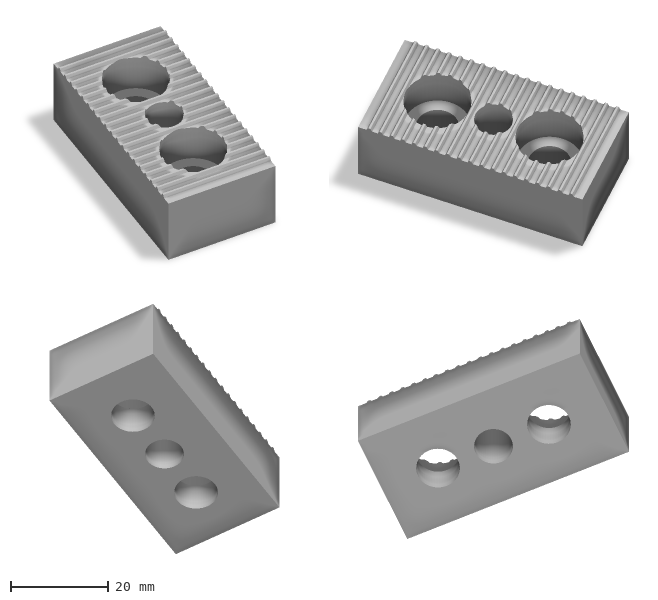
import cadquery as cq
import math

length = 50.0
width = 25.0
total_height = 16.0

tooth_count = 19
tooth_pitch = 2.5
tooth_height = 0.68
tooth_base = tooth_pitch / 2
flank_angle = 60.0

screw_spacing = length / 2
screw_diameter = 9.0
counterbore_diameter = 14.0
counterbore_depth = 9.0
centre_diameter = 8.0

body_height = total_height - tooth_height
tooth_crest = tooth_base - 2 * tooth_height / math.tan(math.radians(flank_angle))


def make_toothed_block():
    """Extrude the side profile: a rectangle with trapezoidal teeth on top."""
    profile = cq.Workplane("XZ").moveTo(-length / 2, 0).lineTo(-length / 2, body_height)
    for index in range(tooth_count):
        middle = (index - (tooth_count - 1) / 2) * tooth_pitch
        profile = (
            profile.lineTo(middle - tooth_base / 2, body_height)
            .lineTo(middle - tooth_crest / 2, total_height)
            .lineTo(middle + tooth_crest / 2, total_height)
            .lineTo(middle + tooth_base / 2, body_height)
        )
    profile = profile.lineTo(length / 2, body_height).lineTo(length / 2, 0).close()
    return profile.extrude(width / 2, both=True)


def make_bore(x, diameter, depth):
    """Vertical cylinder reaching down from the tooth crests by the given depth."""
    floor = total_height - depth
    return cq.Workplane("XY", origin=(x, 0, floor)).circle(diameter / 2).extrude(depth)


result = make_toothed_block().cut(make_bore(0, centre_diameter, total_height))
for screw_x in (-screw_spacing / 2, screw_spacing / 2):
    result = result.cut(make_bore(screw_x, screw_diameter, total_height))
    result = result.cut(make_bore(screw_x, counterbore_diameter, counterbore_depth))